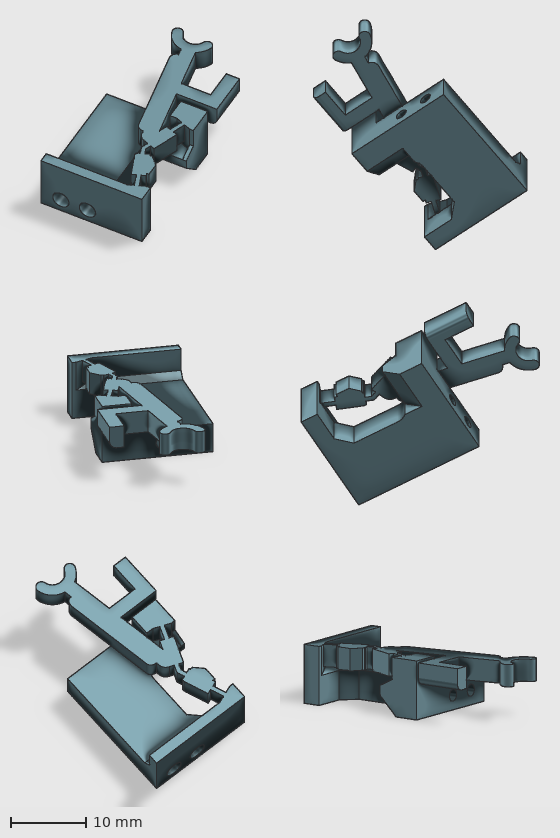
import cadquery as cq
import math

length = 30.35
height = 8.0
reach = 16.08
base_width = 15.2
base_back = 18.48
base_top = 4.0
layer_thickness = 3.03
layer_bottom = height - layer_thickness
bar = 2.0
half_bar = bar / 2
round_radius = 1.0

knee_x = 10.9
knee_y = 8.45
link_angle = 21.0
link_start = 1.0
link_end = 5.0
flexure_end = 7.28
flexure_width = 0.65

anchor_inner = 6.0
anchor_outer = 6.98
slant_start_x = 12.2
slant_end_x = 14.62
anchor_left = 11.15
near_inner_y = knee_y - anchor_inner
near_outer_y = knee_y - anchor_outer
far_inner_y = knee_y + anchor_inner
far_outer_y = knee_y + anchor_outer
gusset_length = 2.0
gusset_height = 1.05

arm_angle = 10.0
fork_radius = 2.43
fork_half_width = 0.75
fork_left_angle = 194.0
fork_right_angle = -22.5
fork_x = 7.1
fork_y = length - fork_half_width - fork_radius * math.sin(math.radians(fork_left_angle))
shoulder_offset = -4.07
heel_offset = -19.0
hook_bottom = 19.42
hook_top = 25.82

opening_left = 8.8
opening_back = far_inner_y - gusset_length
opening_chamfer = 1.9
opening_radius = 2.0
opening_arc_length = 1.35
undercut_height = 2.65

hole_xs = (3.0, 7.0)
hole_z = 2.0
hole_diameter = 1.6
bore_diameter = 2.43
bore_depth = 15.17


def prism(points, bottom, top):
    return cq.Workplane("XY").workplane(offset=bottom).polyline(points).close().extrude(top - bottom)


def rectangle(x0, x1, y0, y1, bottom, top):
    return prism([(x0, y0), (x1, y0), (x1, y1), (x0, y1)], bottom, top)


def layer(points):
    return prism(points, layer_bottom, height)


def profile_yz(points, x0, x1):
    return cq.Workplane("YZ").workplane(offset=x0).polyline(points).close().extrude(x1 - x0)


def make_base():
    base = rectangle(0, base_width, 0, base_back, 0, base_top)
    arc_inset = opening_radius - math.sqrt(opening_radius**2 - opening_arc_length**2)
    opening = (
        cq.Workplane("XY")
        .moveTo(opening_left, near_inner_y + opening_chamfer)
        .lineTo(opening_left + opening_chamfer, near_inner_y)
        .lineTo(base_width, near_inner_y)
        .lineTo(base_width, opening_back)
        .lineTo(opening_left + arc_inset, opening_back)
        .radiusArc((opening_left, opening_back - opening_arc_length), -opening_radius)
        .close()
        .extrude(base_top)
    )
    undercut = profile_yz(
        [
            (opening_back, 0),
            (opening_back + undercut_height, 0),
            (opening_back, undercut_height),
        ],
        opening_left + arc_inset,
        base_width,
    )
    return base.cut(opening).cut(undercut)


def make_front_wall():
    wall = prism(
        [
            (0, 0),
            (base_width, 0),
            (base_width, near_inner_y),
            (slant_end_x, near_inner_y),
            (slant_start_x, near_outer_y),
            (0, near_outer_y),
        ],
        base_top,
        height,
    )
    foot_top = base_top + near_inner_y - near_outer_y
    foot = profile_yz(
        [(0, base_top), (near_inner_y, base_top), (near_outer_y, foot_top), (0, foot_top)],
        0,
        base_width,
    )
    return wall.union(foot)


def make_rear_anchor():
    anchor = prism(
        [
            (anchor_left, base_back),
            (base_width, base_back),
            (base_width, far_inner_y),
            (slant_end_x, far_inner_y),
            (slant_start_x, far_outer_y),
            (anchor_left, far_outer_y),
        ],
        base_top,
        height,
    )
    gusset = profile_yz(
        [
            (opening_back, base_top),
            (far_inner_y, base_top),
            (far_inner_y, base_top + gusset_height),
        ],
        slant_end_x,
        base_width,
    )
    return anchor.union(gusset)


def make_link(side):
    """Link block and flexure on the +Y (side = 1) or -Y (side = -1) half of the knee."""
    sine = math.sin(math.radians(link_angle))
    cosine = math.cos(math.radians(link_angle))

    def at(across, along):
        x = knee_x + along * sine + across * cosine
        y = along * cosine - across * sine
        return (x, knee_y + side * y)

    def strip(half_width, start, end):
        return layer([at(-half_width, start), at(half_width, start), at(half_width, end), at(-half_width, end)])

    half_flexure = flexure_width / 2
    knee_inset = half_flexure * math.tan(math.radians(link_angle))
    flexure = layer([
        at(-half_flexure, -knee_inset),
        at(half_flexure, knee_inset),
        at(half_flexure, flexure_end),
        at(-half_flexure, flexure_end),
    ])
    return strip(half_bar, link_start, link_end).union(flexure)


def make_near_link():
    corner_x = 10.45
    bumper_right = 13.85
    bumper_front = 4.55
    bumper_back = 7.75
    bumper_chamfer = 1.2
    bumper_left = 12.15
    trim = rectangle(0, corner_x, 0, knee_y - link_start / 2, layer_bottom, height)
    bumper = layer([
        (bumper_left, bumper_front),
        (bumper_right, bumper_front),
        (bumper_right, bumper_back - bumper_chamfer),
        (bumper_right - bumper_chamfer, bumper_back),
        (bumper_left, bumper_back),
    ])
    return make_link(-1).cut(trim).union(bumper)


def make_arm():
    plane = cq.Workplane("XY").workplane(offset=layer_bottom)
    arm = (
        plane.moveTo(-half_bar, -fork_radius)
        .lineTo(-half_bar, shoulder_offset)
        .radiusArc((-half_bar - round_radius, shoulder_offset - round_radius), -round_radius)
        .lineTo(-half_bar - round_radius, heel_offset + round_radius)
        .radiusArc((-half_bar, heel_offset), -round_radius)
        .lineTo(half_bar, heel_offset)
        .lineTo(half_bar, -fork_radius)
        .close()
        .extrude(layer_thickness)
    )
    return arm.rotate((0, 0, 0), (0, 0, 1), arm_angle).translate((fork_x, fork_y, 0))


def make_arm_root():
    """Rounded web joining the arm's heel to the far link."""
    heel_point = (9.3, 11.53)
    arc_start = (9.4, 10.92)
    arc_middle = (9.7, 10.15)
    arc_end = (10.32, 9.77)
    link_end_point = (10.92, 9.53)
    link_side_point = (11.3, 12.3)
    return (
        cq.Workplane("XY").workplane(offset=layer_bottom)
        .moveTo(*heel_point)
        .lineTo(*arc_start)
        .threePointArc(arc_middle, arc_end)
        .lineTo(*link_end_point)
        .lineTo(*link_side_point)
        .close()
        .extrude(layer_thickness)
    )


def make_fork():
    def at(radius, angle):
        angle = math.radians(angle)
        return (fork_x + radius * math.cos(angle), fork_y + radius * math.sin(angle))

    inner = fork_radius - fork_half_width
    outer = fork_radius + fork_half_width
    start = fork_left_angle
    end = fork_right_angle + 360
    middle = (start + end) / 2
    plane = cq.Workplane("XY").workplane(offset=layer_bottom)
    fork = (
        plane.moveTo(*at(outer, start))
        .threePointArc(at(outer, middle), at(outer, end))
        .lineTo(*at(inner, end))
        .threePointArc(at(inner, middle), at(inner, start))
        .close()
        .extrude(layer_thickness)
    )
    tips = plane.pushPoints([at(fork_radius, start), at(fork_radius, end)])
    return fork.union(tips.circle(fork_half_width).extrude(layer_thickness))


def make_hook():
    arm_x = fork_x + (fork_y - hook_bottom) * math.tan(math.radians(arm_angle))
    crossbar = rectangle(arm_x, reach, hook_bottom, hook_bottom + bar, layer_bottom, height)
    finger = rectangle(reach - bar, reach, hook_bottom, hook_top, layer_bottom, height)
    return crossbar.union(finger).edges("|Y and >X and <Z").fillet(round_radius)


def make_holes():
    centres = [(x, hole_z) for x in hole_xs]
    front = cq.Workplane("XZ").pushPoints(centres)
    through = front.circle(hole_diameter / 2).extrude(-base_back)
    bores = front.circle(bore_diameter / 2).extrude(-bore_depth)
    return through.union(bores)


result = make_base()
for feature in (
    make_front_wall(),
    make_rear_anchor(),
    make_link(1),
    make_near_link(),
    make_arm(),
    make_arm_root(),
    make_fork(),
    make_hook(),
):
    result = result.union(feature)
result = result.cut(make_holes())